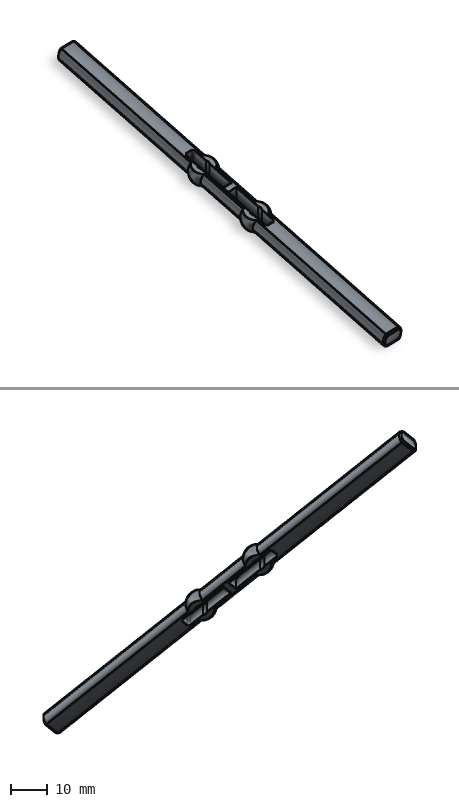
import cadquery as cq

length = 137.5
rod_diameter = 6.6
thickness = 5.0
end_chamfer = 0.5

ball_diameter = 8.5
ball_offset = 11.0

web = 2.0
slot_end = 17.2
slot_width = 2.9
slot_corner_radius = 0.7

hole_diameter = 3.3

groove_length = 3.0
groove_width = 0.4
groove_depth = 0.3


def make_rod():
    """Round rod with flats at top and bottom and chamfered ends."""
    rod = cq.Workplane("YZ").circle(rod_diameter / 2).extrude(length / 2, both=True)
    flats = cq.Workplane("XY").box(length, rod_diameter, thickness)
    return rod.intersect(flats).faces("<X or >X").chamfer(end_chamfer)


def make_ball(x):
    """Ball on the rod axis, cut to the bar thickness."""
    flats = cq.Workplane("XY").box(ball_diameter, ball_diameter, thickness)
    ball = cq.Workplane("XY").sphere(ball_diameter / 2)
    return ball.intersect(flats).translate((x, 0, 0))


def make_opening(side):
    """Cutter for a slot, square at the web and rounded at its outer corners, with the ball's hole."""
    slot_length = slot_end - web / 2
    slot_centre = side * (slot_end + web / 2) / 2
    slot = cq.Workplane("XY").box(slot_length, slot_width, thickness)
    outer_corners = slot.faces(">X" if side > 0 else "<X").edges("|Z")
    slot = outer_corners.fillet(slot_corner_radius).translate((slot_centre, 0, 0))
    hole = cq.Workplane("XY").circle(hole_diameter / 2).extrude(thickness / 2, both=True)
    return slot.union(hole.translate((side * ball_offset, 0, 0)))


def make_groove():
    """Cutter for the groove, running outward from the slots' -Y wall."""
    groove = cq.Workplane("XY").box(groove_length, groove_width, groove_depth)
    centre_y = -(slot_width + groove_width) / 2
    centre_z = (thickness - groove_depth) / 2
    return groove.translate((0, centre_y, centre_z))


result = make_rod()
for side in (-1, 1):
    result = result.union(make_ball(side * ball_offset))
for side in (-1, 1):
    result = result.cut(make_opening(side))
result = result.cut(make_groove())